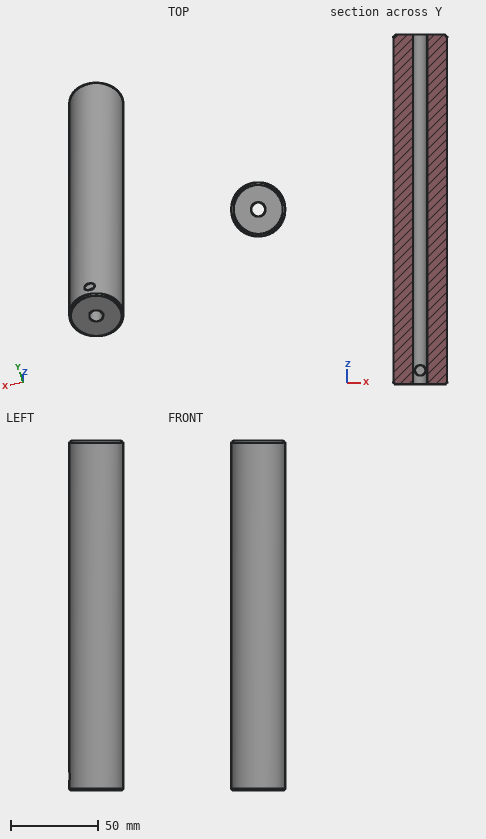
import cadquery as cq
import math

ROD_DIAMETER = 31.0
ROD_LENGTH = 200.0
BORE_DIAMETER = 8.0
TOP_CHAMFER = 1.5
BOTTOM_CHAMFER = 1.0

SCREW_DIAMETER = 6.0
SCREW_HEIGHT = 8.0

ROD_RADIUS = ROD_DIAMETER / 2
BORE_RADIUS = BORE_DIAMETER / 2
SCREW_RADIUS = SCREW_DIAMETER / 2

SCREW_OUTER_Y = math.sqrt(ROD_RADIUS**2 - SCREW_RADIUS**2)


def make_radial_cylinder(start_y, end_y):
    """Cylinder of the screw diameter along +Y at the screw height."""
    section = cq.Workplane("XZ", origin=(0, start_y, SCREW_HEIGHT)).circle(SCREW_RADIUS)
    return section.extrude(start_y - end_y)


def make_rod():
    """Round rod standing on Z = 0, chamfered at both ends, with a through bore and a screw hole."""
    rod = cq.Workplane("XY").circle(ROD_RADIUS).extrude(ROD_LENGTH)
    rod = rod.faces(">Z").edges().chamfer(TOP_CHAMFER)
    rod = rod.faces("<Z").edges().chamfer(BOTTOM_CHAMFER)
    rod = rod.faces(">Z").workplane().hole(BORE_DIAMETER)
    screw_hole = make_radial_cylinder(0, ROD_DIAMETER)
    return rod.cut(screw_hole).solids()


def make_set_screw():
    """Plain set screw that fills the radial hole from the bore wall out to the rod surface."""
    return make_radial_cylinder(BORE_RADIUS, SCREW_OUTER_Y)


rod = make_rod()
set_screw = make_set_screw()

result = cq.Compound.makeCompound([rod.val(), set_screw.val()])